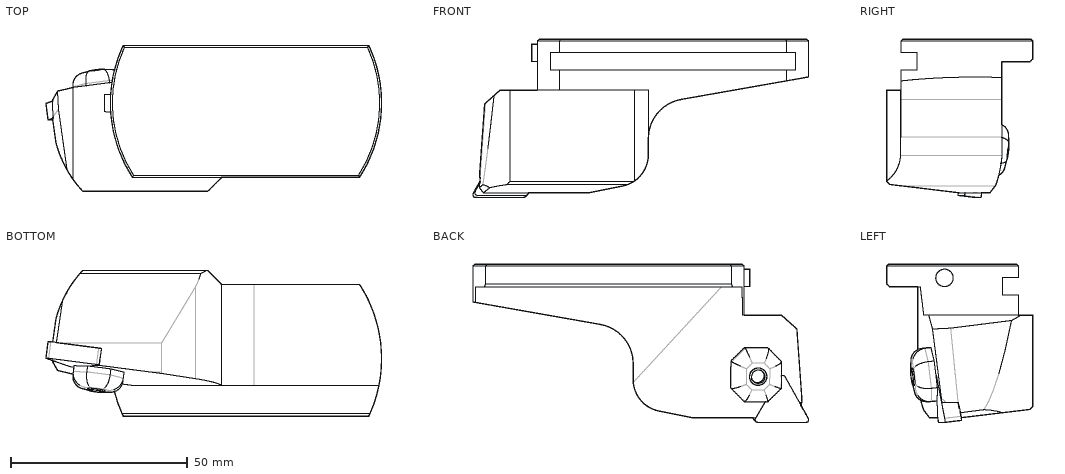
import cadquery as cq
import math

PLATE_RADIUS = 38.5
PLATE_RIGHT_X = 95.3
DISC_X = PLATE_RIGHT_X - PLATE_RADIUS
DISC_Y = 25.1
PLATE_FRONT_Y = 4.0
PLATE_BACK_Y = 41.5
TOP_Z = 45.0
PLATE_THICKNESS = 6.5
PLATE_BOTTOM_Z = TOP_Z - PLATE_THICKNESS
TOP_CHAMFER = 0.6
BACK_CHAMFER = 0.9

GROOVE_DEPTH = 4.6
GROOVE_HEIGHT = 4.9
GROOVE_CENTER_Z = 38.7
PIN_DIAMETER = 5.0
PIN_CENTER_Z = 41.1
PIN_END_X = 16.7
PIN_LENGTH = 9.5

BODY_BACK_Y = 32.7
HEAD_TOP_Z = 30.5
HEAD_END_X = 49.9
HEAD_NOSE_X = 1.9
HEAD_FLAT_X = 10.5
HEAD_CORNER = 3.9
HEAD_BOTTOM_Z = 1.3
BOTTOM_EDGE_Z = 3.8
BOTTOM_SLOPE = 0.12
BOTTOM_CHAMFER = 0.8
BACK_BOTTOM_FILLET = 3.8
WEB_RIGHT_Z = 34.2
WEB_ARC_START = (59.1, 27.8)
WEB_ARC_END_Z = 17.2
HEEL_ARC_TOP_Z = 11.9
HEEL_ARC_MIDDLE = (47.95, 6.7)
HEEL_ARC_END = (42.4, 3.2)
HEEL_RAMP_END_X = 32.9
NOSE_ARC_MIDDLE = (3.8, 10.8)
TOE_TOP_X = 7.7
TOE_SIZE_X = 4.7
TOE_SIZE_Z = 4.2

SEAT_POINT = (18.9, 31.0, 30.6)
SEAT_NORMAL = (-0.13, 1, -0.12)
FRONT_POINT = (3.6, 23.4, 27.2)
FRONT_NORMAL = (-1, -0.13, 0.086)
STRIP_NORMAL = (-1, -0.05, 0.078)
RELIEF_POINT = (2.4, 17.2, 3.2)
RELIEF_NORMAL = (-0.8, -0.19, -0.6)

INSERT_INCIRCLE = 9.5
INSERT_THICKNESS = 4.8
INSERT_NOSE_RADIUS = 0.81
INSERT_X = 7.5
INSERT_Z = INSERT_INCIRCLE / 2
CLEARANCE = 1.4
CLEARANCE_TOP_Z = 5.7

CLAMP_X = 15.1
CLAMP_Z = 13.7
CLAMP_LENGTH = 14.3
CLAMP_WIDTH = 15.3
CLAMP_HEIGHT = 5.5
CLAMP_CORNER = 3.8
CLAMP_FILLET = 3.8
SCREW_DIAMETER = 5.0
SCREW_HEIGHT = 0.4
SOCKET_DIAMETER = 3.8
SOCKET_DEPTH = 1.9

TRIM_SIZE = 286.0


def seat_y(x, z):
    """Y position of the inclined seat face at a given X and Z."""
    nx, ny, nz = SEAT_NORMAL
    px, py, pz = SEAT_POINT
    return py - (nx * (x - px) + nz * (z - pz)) / ny


def seat_frame(x, z):
    """Plane lying on the seat face, its normal pointing out of the holder."""
    nx, ny, _ = SEAT_NORMAL
    return cq.Plane(origin=(x, seat_y(x, z), z), xDir=(ny, -nx, 0), normal=SEAT_NORMAL)


def outside_of(point, normal):
    """Large block on the outer side of a plane."""
    plane = cq.Plane(origin=point, normal=normal)
    return cq.Workplane(plane).rect(TRIM_SIZE, TRIM_SIZE).extrude(TRIM_SIZE)


def block(x0, x1, y0, y1, z0, z1):
    return cq.Workplane("XY").box(x1 - x0, y1 - y0, z1 - z0, centered=False).translate((x0, y0, z0))


def disc_strip(back_y, z0, z1):
    """Length of the plate disc between the front flat and back_y."""
    disc = cq.Workplane("XY").center(DISC_X, DISC_Y).circle(PLATE_RADIUS).extrude(z1 - z0)
    return disc.translate((0, 0, z0)).intersect(block(0, PLATE_RIGHT_X, PLATE_FRONT_Y, back_y, z0, z1))


def make_plate():
    plate = disc_strip(PLATE_BACK_Y, PLATE_BOTTOM_Z, TOP_Z)
    plate = plate.faces(">Z").edges().chamfer(TOP_CHAMFER)
    return plate.faces("<Z").edges(">Y").chamfer(BACK_CHAMFER)


def side_profile():
    """Side outline of web and head, extruded across the whole width."""
    return (
        cq.Workplane("XZ")
        .moveTo(0, PLATE_BOTTOM_Z)
        .lineTo(PLATE_RIGHT_X, PLATE_BOTTOM_Z)
        .lineTo(PLATE_RIGHT_X, WEB_RIGHT_Z)
        .lineTo(*WEB_ARC_START)
        .tangentArcPoint((HEAD_END_X, WEB_ARC_END_Z), relative=False)
        .lineTo(HEAD_END_X, HEEL_ARC_TOP_Z)
        .threePointArc(HEEL_ARC_MIDDLE, HEEL_ARC_END)
        .lineTo(HEEL_RAMP_END_X, HEAD_BOTTOM_Z)
        .lineTo(0, HEAD_BOTTOM_Z)
        .close()
        .extrude(-PLATE_BACK_Y)
    )


def make_head():
    head = (
        cq.Workplane("XY")
        .moveTo(HEAD_FLAT_X, 0)
        .lineTo(HEAD_END_X - HEAD_CORNER, 0)
        .lineTo(HEAD_END_X, HEAD_CORNER)
        .lineTo(HEAD_END_X, BODY_BACK_Y)
        .lineTo(HEAD_NOSE_X, BODY_BACK_Y)
        .lineTo(HEAD_NOSE_X, DISC_Y)
        .threePointArc(NOSE_ARC_MIDDLE, (HEAD_FLAT_X, 0))
        .close()
        .extrude(HEAD_TOP_Z)
    )
    head = head.cut(outside_of((0, 0, BOTTOM_EDGE_Z), (0, -BOTTOM_SLOPE, -1)))
    head = head.cut(outside_of((0, BOTTOM_CHAMFER, BOTTOM_EDGE_Z), (0, -1, -1)))
    return head.cut(outside_of((TOE_TOP_X, 0, HEAD_TOP_Z), (-TOE_SIZE_Z, 0, TOE_SIZE_X)))


def make_body():
    """Web and head together, with the inclined seat and front faces."""
    web = disc_strip(BODY_BACK_Y, HEAD_TOP_Z, PLATE_BOTTOM_Z)
    web_foot = block(HEAD_END_X, PLATE_RIGHT_X, PLATE_FRONT_Y, BODY_BACK_Y, 0, HEAD_TOP_Z)
    body = web.union(web_foot)
    body = body.union(make_head()).intersect(side_profile())
    rounding = (
        block(0, PLATE_RIGHT_X, 0, BODY_BACK_Y, HEAD_BOTTOM_Z, TOP_Z)
        .edges("|X and >Y and <Z")
        .fillet(BACK_BOTTOM_FILLET)
    )
    body = body.intersect(rounding)
    body = body.cut(outside_of(SEAT_POINT, SEAT_NORMAL))
    body = body.cut(outside_of(FRONT_POINT, FRONT_NORMAL))
    body = body.cut(outside_of(FRONT_POINT, STRIP_NORMAL))
    return body.cut(outside_of(RELIEF_POINT, RELIEF_NORMAL))


def make_insert():
    inradius = INSERT_INCIRCLE / 2
    half_edge = inradius * math.sqrt(3)
    corners = [(-half_edge, inradius), (half_edge, inradius), (0, -2 * inradius)]
    return (
        cq.Workplane(seat_frame(INSERT_X, INSERT_Z))
        .polyline(corners)
        .close()
        .extrude(-INSERT_THICKNESS)
        .edges(cq.selectors.ParallelDirSelector(cq.Vector(*SEAT_NORMAL)))
        .fillet(INSERT_NOSE_RADIUS)
    )


def make_clamp():
    """Domed clamp on the seat face with a socket-head screw."""
    frame = seat_frame(CLAMP_X, CLAMP_Z)
    seat_direction = cq.Vector(*SEAT_NORMAL)
    clamp = (
        cq.Workplane(frame)
        .rect(CLAMP_LENGTH, CLAMP_WIDTH)
        .extrude(CLAMP_HEIGHT)
        .edges(cq.selectors.ParallelDirSelector(seat_direction))
        .chamfer(CLAMP_CORNER)
        .faces(cq.selectors.DirectionMinMaxSelector(seat_direction))
        .edges()
        .fillet(CLAMP_FILLET)
    )
    top = cq.Workplane(frame).workplane(offset=CLAMP_HEIGHT)
    screw = top.circle(SCREW_DIAMETER / 2).extrude(SCREW_HEIGHT)
    socket = top.workplane(offset=SCREW_HEIGHT).circle(SOCKET_DIAMETER / 2).extrude(-SOCKET_DEPTH)
    return clamp.union(screw).cut(socket)


def make_front_clearance(insert):
    """Space that leaves the front flank of the insert free near its nose."""
    low_zone = block(-CLEARANCE, HEAD_END_X, 0, BODY_BACK_Y, 0, CLEARANCE_TOP_Z)
    return insert.translate((-CLEARANCE, 0, 0)).intersect(low_zone)


def make_holder(insert):
    holder = make_plate().union(make_body())
    groove_half = GROOVE_HEIGHT / 2
    holder = holder.cut(
        block(
            0, PLATE_RIGHT_X,
            PLATE_FRONT_Y, PLATE_FRONT_Y + GROOVE_DEPTH,
            GROOVE_CENTER_Z - groove_half, GROOVE_CENTER_Z + groove_half,
        )
    )
    pin = (
        cq.Workplane("YZ", origin=(PIN_END_X, DISC_Y, PIN_CENTER_Z))
        .circle(PIN_DIAMETER / 2)
        .extrude(PIN_LENGTH)
    )
    holder = holder.union(pin).union(make_clamp())
    return holder.cut(insert).cut(make_front_clearance(insert))


insert = make_insert()
holder = make_holder(insert)
result = cq.Compound.makeCompound([holder.val(), insert.val()])